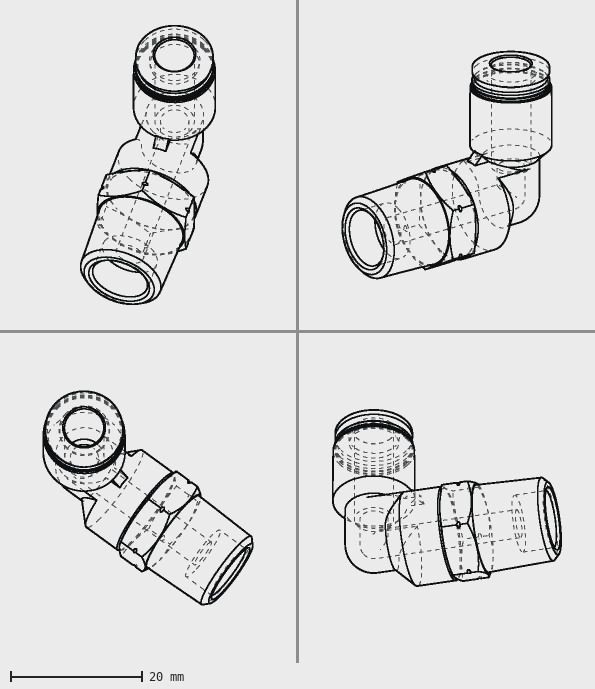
import cadquery as cq
import math


PASSAGE_D = 4.3
TUBE_BORE_D = 6.0
TUBE_BORE_MOUTH_D = 6.5
TUBE_STOP_Z = 4.8
THREAD_BORE_D = 8.77
THREAD_BORE_MOUTH_D = 9.7
THREAD_BORE_FLOOR = 22.65

ELBOW_R = 8.77 / 2
SLEEVE_R = 12.5 / 2
SLEEVE_TOP_R = 12.4 / 2
SLEEVE_BOTTOM_Z = 8.33
SLEEVE_TAPER_Z = 15.8
SLEEVE_TOP_Z = 17.9
RING_R = 11.9 / 2
RING_TOP_Z = 19.4
RING_CHAMFER = 0.35
RING_GROOVE_Z = 18.48
RING_GROOVE_HEIGHT = 0.1
RING_GROOVE_DEPTH = 0.1
COLLAR_NECK_R = 7.5 / 2
COLLAR_FLARE_R = 7.7 / 2
COLLAR_FLARE_Z = 20.04
CAP_R = 11.8 / 2
CAP_BOTTOM_Z = 20.4
CAP_RIM_Z = 21.3
CAP_TOP_Z = 21.8
CAP_RIM_FILLET = 0.15

BODY_R = 14.5 / 2
BODY_FULL = 5.73
HEX_START = 12.0
BODY_END_CHAMFER = 0.25
HEX_FLATS = 14.0
HEX_END = 17.0
HEX_CORNER_R = HEX_FLATS / math.sqrt(3)
HEX_FACE_R = 6.95
HEX_BACK_CHAMFER_ANGLE = 15
HEX_FRONT_CHAMFER_ANGLE = 30
HEX_GROOVE_AT = 14.92
HEX_GROOVE_R = 0.25
THREAD_END = 28.0
THREAD_LARGE_R = 6.74
THREAD_TAPER = 1 / 16
THREAD_CHAMFER = 0.82

GUSSET_WIDTH = 2.0
GUSSET_REACH = 14.77


def turned_on_z(points):
    """Solid of revolution about Z from (radius, height) points."""
    return cq.Workplane("XZ").polyline(points).close().revolve(360, (0, 0), (0, 1))


def turned_on_thread_axis(points):
    """Solid of revolution about Y from (radius, distance along -Y) points."""
    outline = [(radius, -distance) for radius, distance in points]
    return cq.Workplane("XY").polyline(outline).close().revolve(360, (0, 0), (0, 1))


def tube_port():
    neck_top = SLEEVE_BOTTOM_Z - (SLEEVE_R - ELBOW_R)
    groove_top = RING_GROOVE_Z + RING_GROOVE_HEIGHT / 2
    groove_bottom = RING_GROOVE_Z - RING_GROOVE_HEIGHT / 2
    groove_r = RING_R - RING_GROOVE_DEPTH
    seat_groove_top = SLEEVE_TOP_Z + RING_GROOVE_HEIGHT
    port = turned_on_z([
        (0, 0),
        (ELBOW_R, 0),
        (ELBOW_R, neck_top),
        (SLEEVE_R, SLEEVE_BOTTOM_Z),
        (SLEEVE_R, SLEEVE_TAPER_Z),
        (SLEEVE_TOP_R, SLEEVE_TOP_Z),
        (groove_r, SLEEVE_TOP_Z),
        (groove_r, seat_groove_top),
        (RING_R, seat_groove_top),
        (RING_R, groove_bottom),
        (groove_r, groove_bottom),
        (groove_r, groove_top),
        (RING_R, groove_top),
        (RING_R, RING_TOP_Z - RING_CHAMFER),
        (RING_R - RING_CHAMFER, RING_TOP_Z),
        (0, RING_TOP_Z),
    ])
    return port.union(release_collar())


def release_collar():
    mouth_r = TUBE_BORE_MOUTH_D / 2
    collar = turned_on_z([
        (0, RING_TOP_Z),
        (COLLAR_NECK_R, RING_TOP_Z),
        (COLLAR_NECK_R, COLLAR_FLARE_Z),
        (COLLAR_FLARE_R, CAP_BOTTOM_Z),
        (CAP_R, CAP_BOTTOM_Z),
        (CAP_R, CAP_RIM_Z),
        (mouth_r, CAP_TOP_Z),
        (0, CAP_TOP_Z),
    ])
    rim = cq.selectors.BoxSelector(
        (-2 * CAP_R, -2 * CAP_R, CAP_RIM_Z - CAP_RIM_FILLET),
        (2 * CAP_R, 2 * CAP_R, CAP_RIM_Z + CAP_RIM_FILLET),
        boundingbox=True,
    )
    return collar.edges(rim).fillet(CAP_RIM_FILLET)


def thread_body():
    """Turned body: elbow-sized start, 45 degree cone, then full diameter up to the hexagon."""
    cone_start = BODY_FULL - (BODY_R - ELBOW_R)
    return turned_on_thread_axis([
        (0, 0),
        (ELBOW_R, 0),
        (ELBOW_R, cone_start),
        (BODY_R, BODY_FULL),
        (BODY_R, HEX_START - BODY_END_CHAMFER),
        (BODY_R - BODY_END_CHAMFER, HEX_START),
        (0, HEX_START),
    ])


def shoulder():
    """Upper body carried back to the tube axis, with flat sides as wide as the elbow."""
    cylinder = cq.Workplane("XZ").circle(BODY_R).extrude(BODY_FULL)
    flats = cq.Workplane("XY").box(
        2 * ELBOW_R, 2 * BODY_FULL, BODY_R, centered=(True, True, False))
    return cylinder.intersect(flats)


def gusset():
    """Rib whose 45 degree face shows between sleeve and body; the rest is buried in them."""
    outline = [(0, 0), (-GUSSET_REACH, 0), (0, GUSSET_REACH)]
    return cq.Workplane("YZ").polyline(outline).close().extrude(GUSSET_WIDTH / 2, both=True)


def hexagon():
    prism = (
        cq.Workplane("XZ", origin=(0, -HEX_START, 0))
        .polygon(6, 2 * HEX_CORNER_R)
        .extrude(HEX_END - HEX_START)
        .rotate((0, 0, 0), (0, 1, 0), 30)
    )
    drop = HEX_CORNER_R - HEX_FACE_R
    back_setback = drop * math.tan(math.radians(HEX_BACK_CHAMFER_ANGLE))
    front_setback = drop * math.tan(math.radians(HEX_FRONT_CHAMFER_ANGLE))
    envelope = turned_on_thread_axis([
        (0, HEX_START),
        (HEX_FACE_R, HEX_START),
        (HEX_CORNER_R, HEX_START + back_setback),
        (HEX_CORNER_R, HEX_END - front_setback),
        (HEX_FACE_R, HEX_END),
        (0, HEX_END),
    ])
    corner_groove = cq.Workplane("XY").add(cq.Solid.makeTorus(
        HEX_CORNER_R, HEX_GROOVE_R, cq.Vector(0, -HEX_GROOVE_AT, 0), cq.Vector(0, 1, 0)))
    return prism.intersect(envelope).cut(corner_groove)


def taper_thread():
    chamfer_start = THREAD_END - THREAD_CHAMFER
    small_r = THREAD_LARGE_R - (chamfer_start - HEX_END) * THREAD_TAPER / 2
    return turned_on_thread_axis([
        (0, HEX_START),
        (THREAD_LARGE_R, HEX_START),
        (THREAD_LARGE_R, HEX_END),
        (small_r, chamfer_start),
        (small_r - THREAD_CHAMFER, THREAD_END),
        (0, THREAD_END),
    ])


def tube_passage():
    bore_r = TUBE_BORE_D / 2
    mouth_r = TUBE_BORE_MOUTH_D / 2
    return turned_on_z([
        (0, 0),
        (PASSAGE_D / 2, 0),
        (PASSAGE_D / 2, TUBE_STOP_Z),
        (bore_r, TUBE_STOP_Z),
        (bore_r, CAP_TOP_Z - (mouth_r - bore_r)),
        (mouth_r, CAP_TOP_Z),
        (0, CAP_TOP_Z),
    ])


def thread_passage():
    bore_r = THREAD_BORE_D / 2
    mouth_r = THREAD_BORE_MOUTH_D / 2
    return turned_on_thread_axis([
        (0, 0),
        (PASSAGE_D / 2, 0),
        (PASSAGE_D / 2, THREAD_BORE_FLOOR),
        (bore_r, THREAD_BORE_FLOOR),
        (bore_r, THREAD_END - (mouth_r - bore_r)),
        (mouth_r, THREAD_END),
        (0, THREAD_END),
    ])


outside = cq.Workplane("XY").sphere(ELBOW_R)
for feature in (tube_port, thread_body, shoulder, gusset, hexagon, taper_thread):
    outside = outside.union(feature())

passages = cq.Workplane("XY").sphere(PASSAGE_D / 2)
for passage in (tube_passage, thread_passage):
    passages = passages.union(passage())

result = outside.cut(passages)